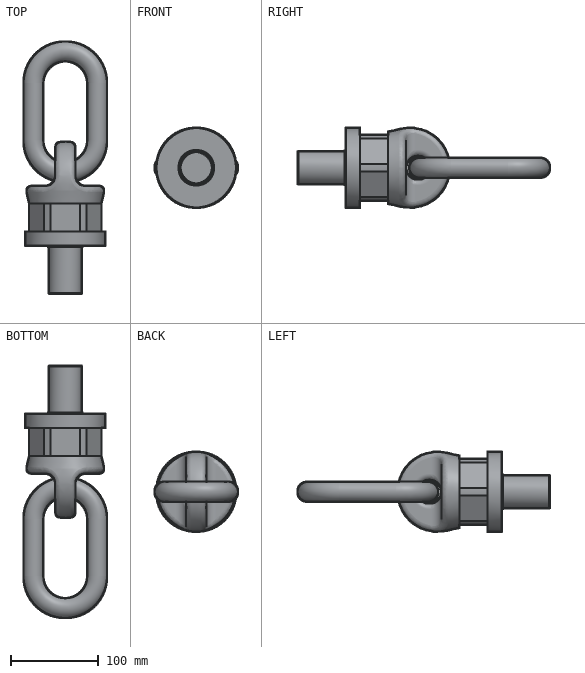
import cadquery as cq
import math


STUD_DIAMETER = 38.0
STUD_LENGTH = 55.0
STUD_TIP_CHAMFER = 1.2
STUD_ROOT_CHAMFER = 1.2
FLANGE_DIAMETER = 92.0
FLANGE_THICKNESS = 16.8
FLANGE_CHAMFER = 0.5
HEX_ACROSS_FLATS = 75.7
HEX_CORNER_DIAMETER = 83.0
HEX_TOP = 48.8

EYE_SPHERE_RADIUS = FLANGE_DIAMETER / 2
EYE_SPHERE_CENTRE = 73.7
COLLAR_TOP = 69.0
LUG_THICKNESS = 23.0
LUG_ROOT_RADIUS = 11.5
EYE_EDGE_FILLET = 6.0
HOLE_DIAMETER = 27.0
HOLE_CENTRE = 83.2
HOLE_FILLET = 6.6

PICK_MARGIN = 0.3

WIRE_DIAMETER = 23.0
LINK_WIDTH = 96.0
OVERALL_LENGTH = 289.0
LINK_TOP = OVERALL_LENGTH - STUD_LENGTH
LINK_BOTTOM = 72.8
LINK_BEND_RADIUS = (LINK_WIDTH - WIRE_DIAMETER) / 2
UPPER_BEND_CENTRE = LINK_TOP - LINK_WIDTH / 2
LOWER_BEND_CENTRE = LINK_BOTTOM + LINK_WIDTH / 2


def cylinder_along_y(diameter, start, end):
    """Cylinder on the Y axis between two heights."""
    return cq.Workplane("XZ", origin=(0, start, 0)).circle(diameter / 2).extrude(start - end)


def make_base():
    """Stud, flange and hexagon in one piece."""
    stud = cylinder_along_y(STUD_DIAMETER, -STUD_LENGTH, 0).faces("<Y").chamfer(STUD_TIP_CHAMFER)
    flange = cylinder_along_y(FLANGE_DIAMETER, 0, FLANGE_THICKNESS).faces("<Y").chamfer(FLANGE_CHAMFER)

    hex_circle = HEX_ACROSS_FLATS / math.cos(math.pi / 6)
    hexagon = (
        cq.Workplane("XZ", origin=(0, FLANGE_THICKNESS, 0))
        .polygon(6, hex_circle)
        .extrude(FLANGE_THICKNESS - HEX_TOP)
        .intersect(cylinder_along_y(HEX_CORNER_DIAMETER, FLANGE_THICKNESS, HEX_TOP))
    )

    stud_radius = STUD_DIAMETER / 2
    root_cone = (
        cq.Workplane("XY")
        .moveTo(0, 0)
        .lineTo(stud_radius + STUD_ROOT_CHAMFER, 0)
        .lineTo(stud_radius, -STUD_ROOT_CHAMFER)
        .lineTo(0, -STUD_ROOT_CHAMFER)
        .close()
        .revolve(360, (0, 0, 0), (0, 1, 0))
    )
    return flange.union(stud).union(root_cone).union(hexagon)


def make_eye_blank():
    """Solid of revolution: a cone that runs tangentially into a sphere."""
    bottom_radius = HEX_CORNER_DIAMETER / 2
    drop = EYE_SPHERE_CENTRE - HEX_TOP
    tangent_angle = math.atan2(drop, bottom_radius) - math.acos(
        EYE_SPHERE_RADIUS / math.hypot(drop, bottom_radius)
    )

    def on_sphere(angle):
        return (
            EYE_SPHERE_RADIUS * math.cos(angle),
            EYE_SPHERE_CENTRE + EYE_SPHERE_RADIUS * math.sin(angle),
        )

    return (
        cq.Workplane("XY")
        .moveTo(0, HEX_TOP)
        .lineTo(bottom_radius, HEX_TOP)
        .lineTo(*on_sphere(-tangent_angle))
        .threePointArc(on_sphere(math.pi / 4), on_sphere(math.pi / 2))
        .close()
        .revolve(360, (0, 0, 0), (0, 1, 0))
    )


def make_eye():
    """Collar with a flat lug, pierced along X for the link."""
    half_lug = LUG_THICKNESS / 2
    root_x = half_lug + LUG_ROOT_RADIUS
    root_y = COLLAR_TOP + LUG_ROOT_RADIUS
    root_arc_offset = LUG_ROOT_RADIUS * math.sin(math.pi / 4)
    reach = FLANGE_DIAMETER
    eye_top = EYE_SPHERE_CENTRE + EYE_SPHERE_RADIUS

    waste = (
        cq.Workplane("XY")
        .moveTo(half_lug, eye_top)
        .lineTo(half_lug, root_y)
        .threePointArc((root_x - root_arc_offset, root_y - root_arc_offset), (root_x, COLLAR_TOP))
        .lineTo(reach, COLLAR_TOP)
        .lineTo(reach, eye_top)
        .close()
        .extrude(reach, both=True)
    )
    eye = make_eye_blank().cut(waste).cut(waste.mirror("YZ"))

    above_cone = cq.selectors.BoxSelector(
        (-reach, COLLAR_TOP - PICK_MARGIN, -reach), (reach, eye_top + reach, reach), boundingbox=True
    )
    eye = eye.edges(above_cone).edges("not(|Z)").fillet(EYE_EDGE_FILLET)

    hole = (
        cq.Workplane("YZ")
        .center(HOLE_CENTRE, 0)
        .circle(HOLE_DIAMETER / 2)
        .extrude(reach, both=True)
    )

    mouth_reach = HOLE_DIAMETER / 2 + PICK_MARGIN
    mouths = cq.selectors.BoxSelector(
        (-root_x, HOLE_CENTRE - mouth_reach, -mouth_reach),
        (root_x, HOLE_CENTRE + mouth_reach, mouth_reach),
        boundingbox=True,
    )
    return eye.cut(hole).edges(mouths).fillet(HOLE_FILLET)


def make_link():
    """Oval link of round wire, lying in the XY plane."""
    side_x = LINK_BEND_RADIUS
    path = (
        cq.Workplane("XY")
        .moveTo(side_x, LOWER_BEND_CENTRE)
        .lineTo(side_x, UPPER_BEND_CENTRE)
        .threePointArc((0, UPPER_BEND_CENTRE + LINK_BEND_RADIUS), (-side_x, UPPER_BEND_CENTRE))
        .lineTo(-side_x, LOWER_BEND_CENTRE)
        .threePointArc((0, LOWER_BEND_CENTRE - LINK_BEND_RADIUS), (side_x, LOWER_BEND_CENTRE))
    )
    return (
        cq.Workplane("XZ", origin=(side_x, LOWER_BEND_CENTRE, 0))
        .circle(WIRE_DIAMETER / 2)
        .sweep(path)
    )


base = make_base()
eye = make_eye()
link = make_link()

result = cq.Compound.makeCompound([base.val(), eye.val(), link.val()])